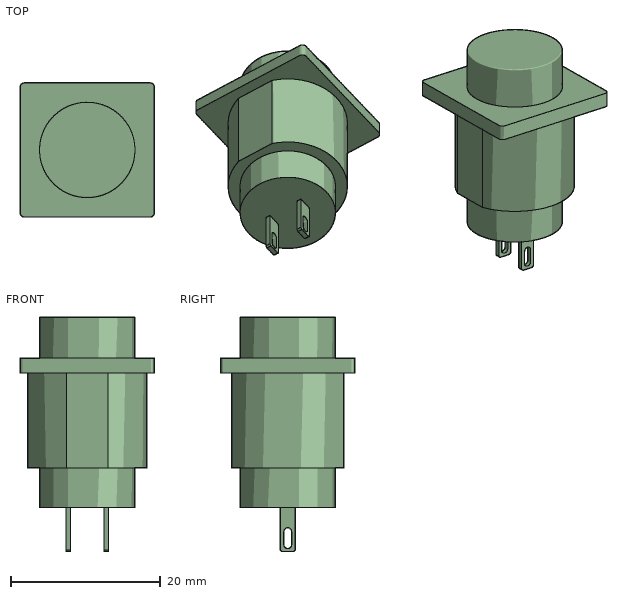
import cadquery as cq

total_height = 31.45

terminal_length = 5.9
terminal_width = 2.0
terminal_thickness = 0.65
terminal_spacing = 5.1
terminal_corner_chamfer = 0.22
slot_length = 2.77
slot_width = 1.0
slot_to_tip = 0.45

base_diameter = 12.8
base_height = 5.3
barrel_diameter = 16.0
barrel_across_flats = 15.03
barrel_height = 12.7
flange_side = 18.02
flange_thickness = 2.0
flange_corner_radius = 0.6
button_diameter = base_diameter
button_edge_fillet = 0.13

base_bottom = terminal_length
barrel_bottom = base_bottom + base_height
flange_bottom = barrel_bottom + barrel_height
button_bottom = flange_bottom + flange_thickness
button_height = total_height - button_bottom


def cylinder(diameter, height, bottom):
    """Upright cylinder on the Z axis."""
    return cq.Workplane("XY").workplane(offset=bottom).circle(diameter / 2).extrude(height)


def make_barrel():
    """Cylinder with two parallel flats facing -Y and +Y."""
    flats = (
        cq.Workplane("XY")
        .workplane(offset=barrel_bottom)
        .rect(barrel_diameter, barrel_across_flats)
        .extrude(barrel_height)
    )
    return cylinder(barrel_diameter, barrel_height, barrel_bottom).intersect(flats)


def make_flange():
    """Square plate with rounded corners."""
    return (
        cq.Workplane("XY")
        .workplane(offset=flange_bottom)
        .rect(flange_side, flange_side)
        .extrude(flange_thickness)
        .edges("|Z")
        .fillet(flange_corner_radius)
    )


def make_button():
    """Round button with a softened top edge."""
    button = cylinder(button_diameter, button_height, button_bottom)
    return button.faces(">Z").edges().fillet(button_edge_fillet)


def make_housing():
    """Base, barrel, flange and button as one solid."""
    base = cylinder(base_diameter, base_height, base_bottom)
    return base.union(make_barrel()).union(make_flange()).union(make_button())


def make_terminal(x_center):
    """Flat blade under the base, with an upright slot through its thickness."""
    blade = (
        cq.Workplane("XY")
        .box(terminal_thickness, terminal_width, terminal_length, centered=(True, True, False))
        .faces("<Z")
        .edges("|X")
        .chamfer(terminal_corner_chamfer)
    )
    slot = (
        cq.Workplane("YZ")
        .center(0, slot_to_tip + slot_length / 2)
        .slot2D(slot_length, slot_width, 90)
        .extrude(terminal_thickness, both=True)
    )
    return blade.cut(slot).translate((x_center, 0, 0))


housing = make_housing()
terminals = [make_terminal(side * terminal_spacing / 2) for side in (-1, 1)]

result = cq.Compound.makeCompound([housing.val(), *[terminal.val() for terminal in terminals]])